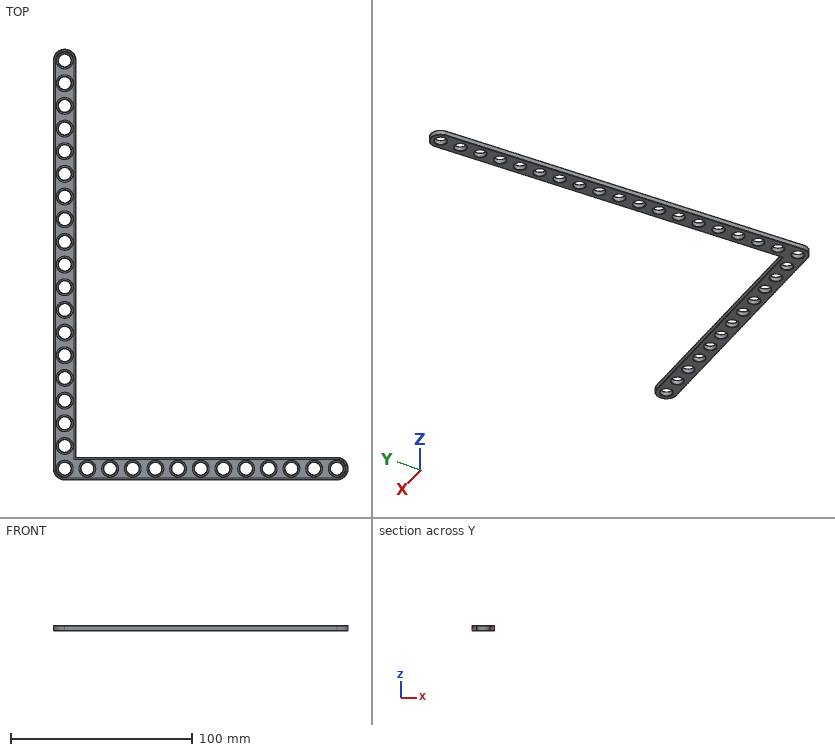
import cadquery as cq

long_arm = 237.5
long_arm_holes = 19
short_arm_holes = 13
pitch = long_arm / long_arm_holes
bar_width = pitch
thickness = pitch / 4

edge_chamfer = 0.28

rim_width = 1.15
collar_diameter = 9.3
channel_depth = 0.2
hole_diameter = collar_diameter - 2 * rim_width
channel_width = bar_width - 2 * rim_width

long_span = (long_arm_holes - 1) * pitch
short_span = (short_arm_holes - 1) * pitch

short_arm_centres = [(i * pitch, 0) for i in range(short_arm_holes)]
long_arm_centres = [(0, i * pitch) for i in range(1, long_arm_holes)]
hole_centres = short_arm_centres + long_arm_centres


def angle_bar(width, height):
    """L-shaped bar with round ends and a round outer corner, centred on the two rows of holes."""
    short_bar = cq.Workplane("XY").center(short_span / 2, 0).slot2D(short_span + width, width).extrude(height)
    long_bar = cq.Workplane("XY").center(0, long_span / 2).slot2D(long_span + width, width, 90).extrude(height)
    return short_bar.union(long_bar).clean()


def discs(diameter, height):
    """One upright cylinder at every hole centre."""
    return cq.Workplane("XY").pushPoints(hole_centres).circle(diameter / 2).extrude(height)


def drilled_bar():
    """Full-thickness bar with its through holes and chamfered edges."""
    drilled = angle_bar(bar_width, thickness).cut(discs(hole_diameter, thickness))
    return drilled.faces(">Z or <Z").edges().chamfer(edge_chamfer)


def channel():
    """Material removed from the top face, leaving the rim and the collars."""
    recess = angle_bar(channel_width, channel_depth).cut(discs(collar_diameter, channel_depth))
    return recess.translate((0, 0, thickness - channel_depth))


result = drilled_bar().cut(channel())